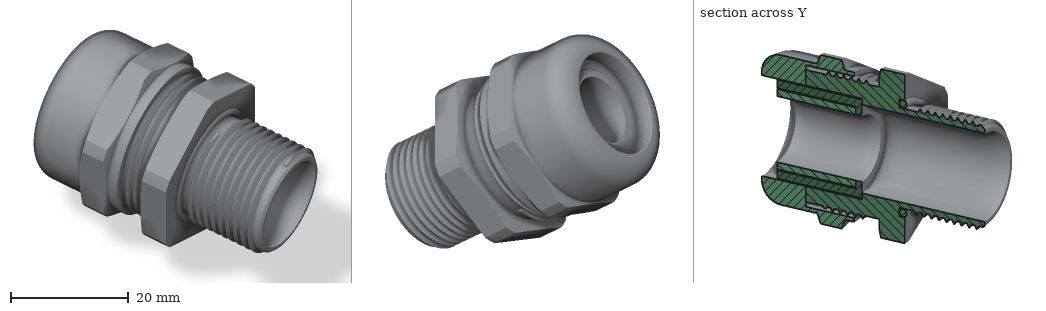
import cadquery as cq
import math


LENGTH = 44.6

ACROSS_FLATS = 28.0
CORNER_RADIUS = 31.05 / 2
SHARP_CORNERS_DIAMETER = ACROSS_FLATS / math.cos(math.pi / 6)

NUT_RADIUS = 27.6 / 2
NUT_END = 18.55
DOME_RADIUS = 4
NUT_HEX_START = 11.1
NUT_HEX_END = 16.67
NUT_HEX_CHAMFER = 0.65
MOUTH_RADIUS = 18.4 / 2
MOUTH_CHAMFER = 0.2

ENTRY_THREAD_LENGTH = 13.5
ENTRY_THREAD_TURNS = 9
PITCH = ENTRY_THREAD_LENGTH / ENTRY_THREAD_TURNS
THREAD_DEPTH = 0.75
THREAD_BASE = 0.9
ROOT_OVERLAP = 0.1
RUNOUT_HEIGHT = 0.35

CAP_ROOT_RADIUS = 24.35 / 2
CAP_THREAD_TURNS = 6
CAP_THREAD_END = 21.65
BODY_HEX_START = 23.45
BODY_HEX_END = 28.6
BODY_HEX_CHAMFER = 0.3
ENTRY_ROOT_RADIUS = 18.45 / 2
ENTRY_THREAD_START = 30.15
ENTRY_CHAMFER = 0.45
BODY_BORE_RADIUS = 16.2 / 2

BODY_START = 8.9
THREAD_CLEARANCE = 0.05
NUT_BORE_RADIUS = CAP_ROOT_RADIUS + THREAD_DEPTH + THREAD_CLEARANCE

SEAL_FRONT = 3.1
SEAL_END = 20.05
OUTER_SEAL_RADIUS = 18.25 / 2
OUTER_SEAL_BORE_RADIUS = 15.0 / 2
INNER_SEAL_RADIUS = 14.8 / 2
CABLE_RADIUS = 12.05 / 2
LIP_THICKNESS = 1.35

ORING_SECTION_RADIUS = 0.75
ORING_PROTRUSION = 0.4
ORING_CENTRE = BODY_HEX_END + ORING_PROTRUSION - ORING_SECTION_RADIUS
ORING_RING_RADIUS = ENTRY_ROOT_RADIUS + ORING_SECTION_RADIUS


def turned(profile):
    """Revolve a closed (X, radius) profile about the X axis."""
    return profile.close().revolve(360, (0, 0, 0), (1, 0, 0))


def turned_points(points):
    return turned(cq.Workplane("XZ").polyline(points))


def tube(start, end, outer_radius, inner_radius):
    return turned_points(
        [(start, inner_radius), (end, inner_radius), (end, outer_radius), (start, outer_radius)]
    )


def rod(start, end, radius):
    return tube(start, end, radius, 0)


def hexagon(start, end, chamfer, cone_radius, both_sides):
    """Hexagon with flats facing +Y and -Y, its corners turned down and coned in front or on both sides."""
    prism = (
        cq.Workplane("YZ", origin=(start, 0, 0))
        .transformed(rotate=(0, 0, 30))
        .polygon(6, SHARP_CORNERS_DIAMETER)
        .extrude(end - start)
    )
    envelope = [(start, 0), (start, cone_radius), (start + chamfer, CORNER_RADIUS)]
    if both_sides:
        envelope += [(end - chamfer, CORNER_RADIUS), (end, cone_radius)]
    else:
        envelope += [(end, CORNER_RADIUS)]
    envelope += [(end, 0)]
    return prism.intersect(turned_points(envelope))


def thread_ridge(start, turns, root_radius, start_turn):
    """Right-handed V ridge along X, flattened at both ends; it starts start_turn degrees round from -Z."""
    height = turns * PITCH
    crest_radius = root_radius + THREAD_DEPTH
    base_half = THREAD_BASE / 2 * (THREAD_DEPTH + ROOT_OVERLAP) / THREAD_DEPTH
    inner_radius = root_radius - ROOT_OVERLAP
    helix = cq.Wire.makeHelix(PITCH, height, root_radius)
    ridge = (
        cq.Workplane("XZ")
        .polyline([(inner_radius, -base_half), (crest_radius, 0), (inner_radius, base_half)])
        .close()
        .sweep(cq.Workplane(helix), isFrenet=True)
    )
    for level, side in ((0, 1), (height, -1)):
        flat = cq.Workplane("XY").box(THREAD_DEPTH, root_radius, PITCH, centered=(False, True, True))
        ridge = ridge.cut(
            flat.translate((root_radius + RUNOUT_HEIGHT, side * root_radius / 2, level))
        )
    return (
        ridge.rotate((0, 0, 0), (0, 0, 1), start_turn)
        .rotate((0, 0, 0), (0, 1, 0), 90)
        .translate((start, 0, 0))
    )


def make_cap_nut():
    arc_middle = DOME_RADIUS * math.sqrt(0.5)
    dome_centre_radius = NUT_RADIUS - DOME_RADIUS
    shell = turned(
        cq.Workplane("XZ")
        .moveTo(MOUTH_CHAMFER, MOUTH_RADIUS)
        .lineTo(0, MOUTH_RADIUS + MOUTH_CHAMFER)
        .lineTo(0, dome_centre_radius)
        .threePointArc(
            (DOME_RADIUS - arc_middle, dome_centre_radius + arc_middle), (DOME_RADIUS, NUT_RADIUS)
        )
        .lineTo(NUT_END, NUT_RADIUS)
        .lineTo(NUT_END, NUT_BORE_RADIUS)
        .lineTo(BODY_START, NUT_BORE_RADIUS)
        .lineTo(BODY_START, MOUTH_RADIUS)
    )
    grip = hexagon(NUT_HEX_START, NUT_HEX_END, NUT_HEX_CHAMFER, NUT_RADIUS, both_sides=True)
    return shell.union(grip.cut(rod(NUT_HEX_START, NUT_HEX_END, NUT_BORE_RADIUS)))


def make_body():
    cap_shank = rod(BODY_START, BODY_HEX_START, CAP_ROOT_RADIUS)
    cap_thread = thread_ridge(
        CAP_THREAD_END - CAP_THREAD_TURNS * PITCH, CAP_THREAD_TURNS, CAP_ROOT_RADIUS, 0
    )
    entry_shank = rod(BODY_HEX_END, LENGTH, ENTRY_ROOT_RADIUS).faces(">X").chamfer(ENTRY_CHAMFER)
    entry_thread = thread_ridge(ENTRY_THREAD_START, ENTRY_THREAD_TURNS, ENTRY_ROOT_RADIUS, 180)
    flange = hexagon(
        BODY_HEX_START, BODY_HEX_END, BODY_HEX_CHAMFER, ACROSS_FLATS / 2, both_sides=False
    )
    oring_recess = tube(
        ORING_CENTRE - ORING_SECTION_RADIUS,
        BODY_HEX_END,
        ORING_RING_RADIUS + ORING_SECTION_RADIUS,
        ENTRY_ROOT_RADIUS,
    )
    seal_socket = rod(BODY_START, SEAL_END, MOUTH_RADIUS)
    bore = rod(SEAL_END, LENGTH, BODY_BORE_RADIUS)
    cap_end = cap_shank.union(cap_thread)
    entry_end = entry_shank.union(entry_thread)
    return flange.cut(oring_recess).union(cap_end).union(entry_end).cut(seal_socket).cut(bore)


def make_outer_seal():
    sleeve = tube(SEAL_FRONT, SEAL_END, OUTER_SEAL_RADIUS, OUTER_SEAL_BORE_RADIUS)
    lip = tube(SEAL_END - LIP_THICKNESS, SEAL_END, OUTER_SEAL_RADIUS, CABLE_RADIUS)
    return sleeve.union(lip)


def make_inner_seal():
    return tube(SEAL_FRONT, SEAL_END - LIP_THICKNESS, INNER_SEAL_RADIUS, CABLE_RADIUS)


def make_oring():
    section = cq.Workplane("XZ").pushPoints([(ORING_CENTRE, ORING_RING_RADIUS)]).circle(
        ORING_SECTION_RADIUS
    )
    return section.revolve(360, (0, 0, 0), (1, 0, 0))


cap_nut = make_cap_nut()
body = make_body()
outer_seal = make_outer_seal()
inner_seal = make_inner_seal()
oring = make_oring()

result = cq.Compound.makeCompound(
    [cap_nut.val(), body.val(), outer_seal.val(), inner_seal.val(), oring.val()]
)